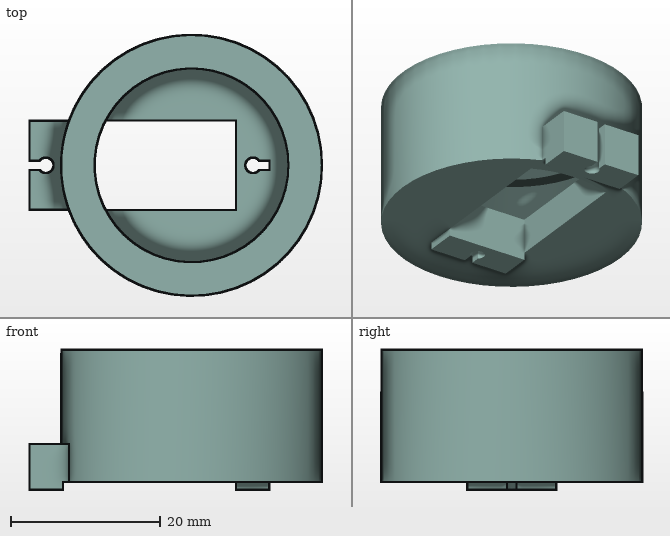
import cadquery as cq

ring_radius = 17.5
ring_height = 17.75
cavity_radius = 15.0
opening_radius = 13.0
lip_height = 3.8
floor_thickness = 5.1

window_length = 23.15
window_width = 11.97
pad_length = 4.5
pad_drop = 1.05
tab_reach = 21.75

hole_radius = 1.02
slot_width = 1.2
hole_inset = 2.2

window_left = -tab_reach + pad_length
window_right = window_left + window_length
pad_right = window_right + pad_length
pad_height = floor_thickness + pad_drop


def block(x_start, x_end, width, z_start, height):
    """Box centred on the X axis, spanning the given X and Z ranges."""
    return (
        cq.Workplane("XY")
        .box(x_end - x_start, width, height, centered=(False, True, False))
        .translate((x_start, 0, z_start))
    )


def disc(radius, z_start, height):
    return cq.Workplane("XY", origin=(0, 0, z_start)).circle(radius).extrude(height)


def keyhole(outer_end, hole_x):
    hole = disc(hole_radius, -pad_drop, pad_height).translate((hole_x, 0, 0))
    slot_start = min(outer_end, hole_x)
    slot_end = max(outer_end, hole_x)
    return hole.union(block(slot_start, slot_end, slot_width, -pad_drop, pad_height))


cavity_height = ring_height - lip_height - floor_thickness
cup = disc(ring_radius, 0, ring_height)
cup = cup.cut(disc(cavity_radius, floor_thickness, cavity_height))
cup = cup.cut(disc(opening_radius, ring_height - lip_height, lip_height))

window = block(window_left, window_right, window_width, 0, floor_thickness)
cup = cup.cut(window.intersect(disc(cavity_radius, 0, floor_thickness)))

tab = block(-tab_reach, -cavity_radius, window_width, 0, floor_thickness)
tab = tab.cut(disc(cavity_radius, 0, floor_thickness))
left_pad = block(-tab_reach, window_left, window_width, -pad_drop, pad_height)
right_pad = block(window_right, pad_right, window_width, -pad_drop, pad_height)
body = cup.union(tab).union(left_pad).union(right_pad)

body = body.cut(keyhole(-tab_reach, -tab_reach + hole_inset))
result = body.cut(keyhole(pad_right, pad_right - hole_inset))